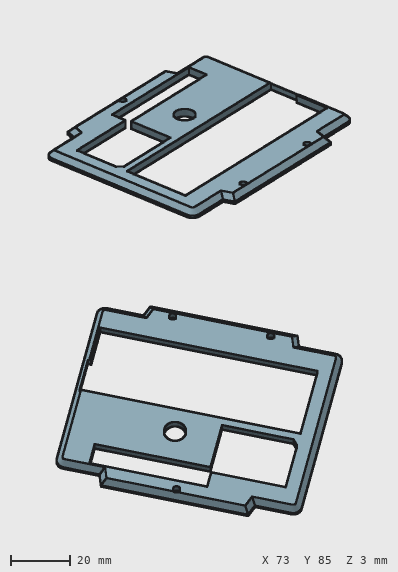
import cadquery as cq

length = 85.0
ear_to_ear_width = 73.0
thickness = 3.0
bevel_size = 2.0
corner_radius = 3.0

body_width = 64.9
ear_tip_half_length = 25.5
ear_root_half_length = 26.95

long_window_left = -2.3
long_window_right = 23.2
long_window_step = 9.9
long_window_back = 39.8
long_window_deep_back = 41.0
windows_front = -35.6

slot_left = -30.0
slot_right = -22.3
slot_front = -9.8
slot_back = 31.0
opening_left = -24.1
opening_right = -5.1
opening_back = -9.1
opening_chamfer_x = 2.1
opening_chamfer_y = 1.8

large_hole_diameter = 7.5
large_hole_center = (-11.1, 5.8)
pin_hole_diameter = 2.4
pin_hole_centers = [(-33.4, 0), (33.15, 17.0), (33.15, -17.0)]


def beveled_plate():
    """Plate with a vertical rim and a bevel running all around its top."""
    half_body = body_width / 2
    half_ears = ear_to_ear_width / 2
    half_length = length / 2
    right_side = [
        (half_body, -half_length),
        (half_body, -ear_root_half_length),
        (half_ears, -ear_tip_half_length),
        (half_ears, ear_tip_half_length),
        (half_body, ear_root_half_length),
        (half_body, half_length),
    ]
    left_side = [(-x, -y) for x, y in right_side]
    plate = cq.Workplane("XY").polyline(right_side + left_side).close().extrude(thickness)
    for end in ("<Y", ">Y"):
        plate = plate.faces(end).edges("|Z").fillet(corner_radius)
    return plate.faces(">Z").edges().chamfer(bevel_size)


def through_cut(points):
    """Prism through the full thickness over a closed polygon."""
    return cq.Workplane("XY").polyline(points).close().extrude(thickness)


def long_window():
    return through_cut([
        (long_window_left, windows_front),
        (long_window_right, windows_front),
        (long_window_right, long_window_back),
        (long_window_step, long_window_back),
        (long_window_step, long_window_deep_back),
        (long_window_left, long_window_deep_back),
    ])


def left_window():
    return through_cut([
        (slot_left, slot_back),
        (slot_left, slot_front),
        (opening_left, slot_front),
        (opening_left, windows_front),
        (opening_right - opening_chamfer_x, windows_front),
        (opening_right, windows_front + opening_chamfer_y),
        (opening_right, opening_back),
        (slot_right, opening_back),
        (slot_right, slot_back),
    ])


def round_holes(centers, diameter):
    return cq.Workplane("XY").pushPoints(centers).circle(diameter / 2).extrude(thickness)


result = (
    beveled_plate()
    .cut(long_window())
    .cut(left_window())
    .cut(round_holes([large_hole_center], large_hole_diameter))
    .cut(round_holes(pin_hole_centers, pin_hole_diameter))
)